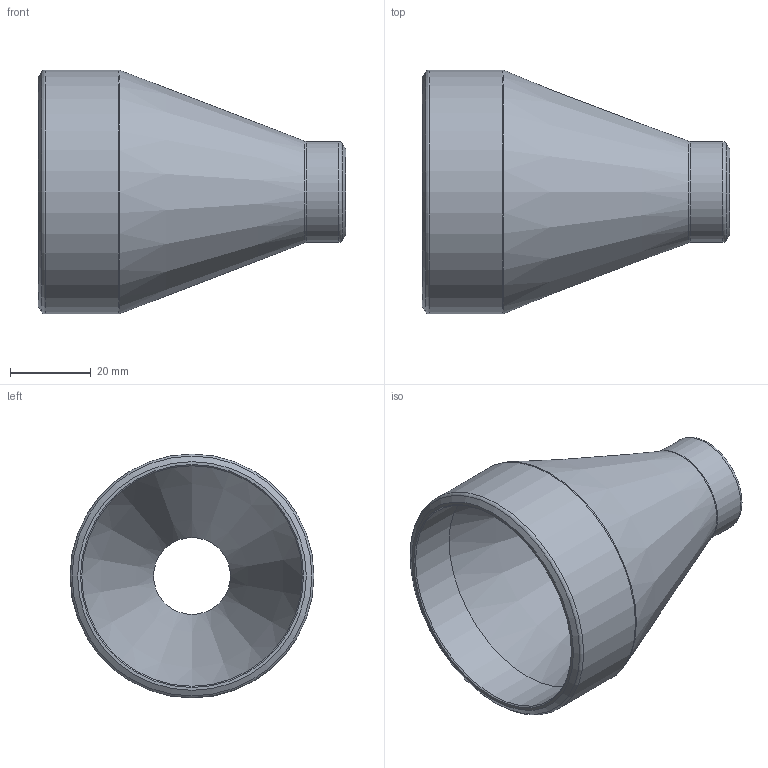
import cadquery as cq
import math

TOTAL_LENGTH = 76.0
LARGE_OUTER_RADIUS = 60.3 / 2
LARGE_BORE_RADIUS = 54.5 / 2
SMALL_OUTER_RADIUS = 25.0 / 2
SMALL_BORE_RADIUS = 19.0 / 2
LARGE_COLLAR_LENGTH = 20.0
SMALL_COLLAR_LENGTH = 10.0
LARGE_BORE_LENGTH = 12.0
SMALL_BORE_LENGTH = 18.0
ROOT_FACE = 1.0
BEVEL_ANGLE = 30.0
BEND_RADIUS = 1.0
MOUTH_CHAMFER = 0.3

outer_cone_start = LARGE_COLLAR_LENGTH
outer_cone_end = TOTAL_LENGTH - SMALL_COLLAR_LENGTH
bore_cone_start = LARGE_BORE_LENGTH
bore_cone_end = TOTAL_LENGTH - SMALL_BORE_LENGTH


def bevel_length(outer_radius, bore_radius):
    """Axial length of the weld bevel for an end with the given radii."""
    bevel_height = outer_radius - bore_radius - ROOT_FACE
    return bevel_height * math.tan(math.radians(BEVEL_ANGLE))


def toward(start, end, distance):
    """Point at the given distance from start on the line to end."""
    fraction = distance / math.dist(start, end)
    return (
        start[0] + fraction * (end[0] - start[0]),
        start[1] + fraction * (end[1] - start[1]),
    )


def rounded_corner(profile, before, corner, after):
    """Continue the profile to the corner and round it with a tangent arc."""
    angle_in = math.atan2(corner[1] - before[1], corner[0] - before[0])
    angle_out = math.atan2(after[1] - corner[1], after[0] - corner[0])
    tangent_length = BEND_RADIUS * math.tan(abs(angle_out - angle_in) / 2)
    arc_start = toward(corner, before, tangent_length)
    arc_end = toward(corner, after, tangent_length)
    return profile.lineTo(*arc_start).tangentArcPoint(arc_end, relative=False)


def outer_corners():
    """Sharp corners of the outer surface, from the large end to the small end."""
    large_bevel = bevel_length(LARGE_OUTER_RADIUS, LARGE_BORE_RADIUS)
    small_bevel = bevel_length(SMALL_OUTER_RADIUS, SMALL_BORE_RADIUS)
    return [
        (0, LARGE_BORE_RADIUS + ROOT_FACE),
        (large_bevel, LARGE_OUTER_RADIUS),
        (outer_cone_start, LARGE_OUTER_RADIUS),
        (outer_cone_end, SMALL_OUTER_RADIUS),
        (TOTAL_LENGTH - small_bevel, SMALL_OUTER_RADIUS),
        (TOTAL_LENGTH, SMALL_BORE_RADIUS + ROOT_FACE),
    ]


def add_outer_surface(profile):
    """Bevels, collars and cone of the outside, with rounded corners."""
    corners = outer_corners()
    profile = profile.lineTo(*corners[0])
    for before, corner, after in zip(corners, corners[1:], corners[2:]):
        profile = rounded_corner(profile, before, corner, after)
    return profile.lineTo(*corners[-1])


def add_bore(profile):
    """Small bore, cone and large bore, back to the chamfered mouth."""
    return (
        profile.lineTo(TOTAL_LENGTH, SMALL_BORE_RADIUS)
        .lineTo(bore_cone_end, SMALL_BORE_RADIUS)
        .lineTo(bore_cone_start, LARGE_BORE_RADIUS)
        .lineTo(MOUTH_CHAMFER, LARGE_BORE_RADIUS)
        .close()
    )


def make_reducer():
    """Revolve the wall section, laid out as (axial position, radius)."""
    profile = cq.Workplane("XZ").moveTo(0, LARGE_BORE_RADIUS + MOUTH_CHAMFER)
    profile = add_outer_surface(profile)
    profile = add_bore(profile)
    return profile.revolve(360, (0, 0, 0), (1, 0, 0))


result = make_reducer()